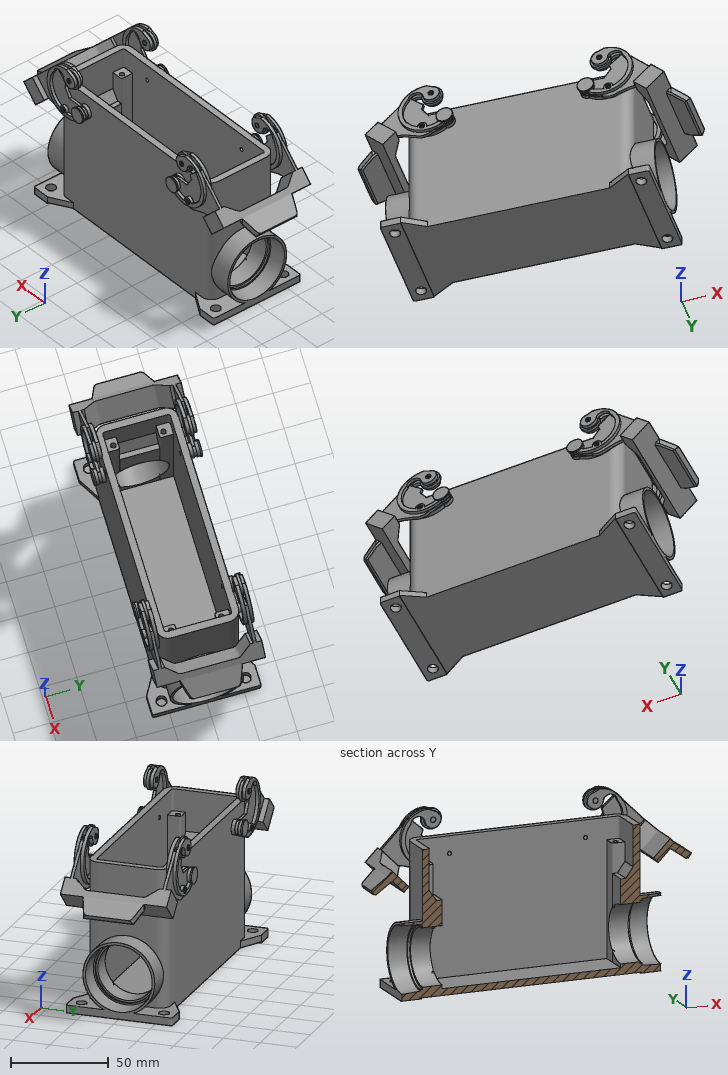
import cadquery as cq
import math

body_length = 121.0
body_width = 43.9
body_bottom = 0.5
body_top = 79.8
body_corner_radius = 6.2
wall = 4.0
floor_top = 4.5
cavity_corner_radius = 1.2
cavity_length = body_length - 2 * wall
cavity_width = body_width - 2 * wall

total_width = 58.0
foot_end_x = 72.1
foot_shoulder_x = 61.0
foot_tip_x = 48.9
foot_top = 4.3
foot_corner_radius = 1.0
foot_hole_x = 66
foot_hole_y = 22.5
foot_hole_diameter = 5.5

entry_z = 22.1
entry_radius = 19.6
entry_mouth_radius = 18.2
entry_thread_end_radius = 17.7
entry_thread_end_x = 61.8
entry_seat_radius = 16.8
entry_hole_radius = 15.7

post_top = 67.8
post_length = 7.0
post_width = 7.3
post_edge_radius = 1.0
post_screw_x = 52.5
post_screw_y = 13.4
post_screw_diameter = 2.7
post_screw_depth = 14.3
ledge_top = 57.5
ledge_flat_width = 2.9
ledge_ramp_drop = 5.7

arm_inner_y = 22.5
web_inner_y = 24.5
web_outer_y = 26.0
arm_outer_y = 27.8
pin_overhang = 0.4

tilt = math.sqrt(0.5)
bar_x = -80.1
bar_z = 67.5
bar_depth = 9.8
bar_length = 13.4
bar_wall = 4.0
bar_block_y = 22.8
bar_recess_y = 16
bar_recess_radius = 2.9

grip_angle = 35
grip_thickness = 4.0
grip_tip_x = -89.2
grip_tip_z = bar_z - (bar_x - grip_tip_x) * math.tan(math.radians(grip_angle))
grip_length = 14.3
grip_root_y = 16.6
grip_tip_y = 12.9
grip_corner_radius = 2.7
grip_edge_chamfer = 0.9

hook_x = -47.5
hook_z = 78.5
hook_outer_radius = 15.4
hook_inner_radius = 13.0
hook_throat = (-53.4, 90.5)
eye_x = -45.2
eye_z = 88.0
eye_radius = 4.5
roller_radius = 5.5
lower_pin_x = -50
lower_pin_z = 66.2
lower_boss_radius = 2.5
pin_radius = 1.5
pin_dimple_radius = 0.7
pin_dimple_depth = 0.5

pivot_x = -37.8
pivot_z = 70.3
pivot_radius = 4.5
pivot_eye_radius = 4.1
pivot_web_radius = 3.5
pivot_neck_radius = 2.1
pivot_head_height = 0.9
pivot_shaft_radius = 1.0

web_edge_length = 21.8
web_shoulder = (-49.8, 82.8)
web_notch = (-50.7, 80.0)
web_step = (-47.1, 74.6)
web_end_x = -38.4
web_belly_radius = 5.0
web_belly_start = (-54.5, 62.5)
web_belly_end = (-45.5, 63.0)
web_heel = (-60.5, 64.5)


def box(x0, x1, y0, y1, z0, z1):
    """Box between two opposite corners."""
    return cq.Workplane("XY").box(x1 - x0, y1 - y0, z1 - z0, centered=False).translate((x0, y0, z0))


def side_plane(y):
    """XZ sketch plane at the given y; positive extrusion goes toward -Y."""
    return cq.Workplane("XZ", origin=(0, y, 0))


def disc(x, z, radius, y0, y1):
    """Cylinder along Y between y0 and y1."""
    return side_plane(y1).center(x, z).circle(radius).extrude(y1 - y0)


def both_sides(solid, plane):
    """The solid joined with its mirror image in the given plane."""
    return solid.union(solid.mirror(plane))


def make_box():
    return (
        cq.Workplane("XY", origin=(0, 0, body_bottom))
        .rect(body_length, body_width)
        .extrude(body_top - body_bottom)
        .edges("|Z")
        .fillet(body_corner_radius)
    )


def make_cavity():
    return (
        cq.Workplane("XY", origin=(0, 0, floor_top))
        .rect(cavity_length, cavity_width)
        .extrude(body_top - floor_top)
        .edges("|Z")
        .fillet(cavity_corner_radius)
    )


def make_foot():
    """Left foot: a full-width pad with two wings tapering into the box sides."""
    half = total_width / 2
    pad = box(-foot_end_x, -foot_shoulder_x, -half, half, 0, foot_top)
    pad = pad.edges("|Z and <X").fillet(foot_corner_radius)
    wings = (
        cq.Workplane("XY", origin=(0, 0, body_bottom))
        .polyline([
            (-foot_shoulder_x, -half),
            (-foot_tip_x, -body_width / 2),
            (-foot_tip_x, body_width / 2),
            (-foot_shoulder_x, half),
        ])
        .close()
        .extrude(foot_top - body_bottom)
    )
    return pad.union(wings)


def make_foot_holes():
    return (
        cq.Workplane("XY")
        .pushPoints([(-foot_hole_x, -foot_hole_y), (-foot_hole_x, foot_hole_y)])
        .circle(foot_hole_diameter / 2)
        .extrude(foot_top)
    )


def make_entry():
    length = foot_end_x - cavity_length / 2
    return cq.Workplane("YZ", origin=(-foot_end_x, 0, entry_z)).circle(entry_radius).extrude(length)


def make_entry_bore():
    """Tapered socket, a seat at the box face, then a smaller hole through the wall and posts."""
    seat_x = body_length / 2
    inner_x = cavity_length / 2 - post_length
    return (
        cq.Workplane("XZ")
        .polyline([
            (-foot_end_x, entry_z),
            (-foot_end_x, entry_z + entry_mouth_radius),
            (-entry_thread_end_x, entry_z + entry_thread_end_radius),
            (-entry_thread_end_x, entry_z + entry_seat_radius),
            (-seat_x, entry_z + entry_seat_radius),
            (-seat_x, entry_z + entry_hole_radius),
            (-inner_x, entry_z + entry_hole_radius),
            (-inner_x, entry_z),
        ])
        .close()
        .revolve(360, (0, entry_z, 0), (1, entry_z, 0))
    )


def make_post():
    """Post in the -X, -Y corner of the cavity."""
    x0 = -cavity_length / 2
    y0 = -cavity_width / 2
    post = box(x0, x0 + post_length, y0, y0 + post_width, floor_top, post_top)
    post = post.edges("|Z and >X and >Y").fillet(post_edge_radius)
    screw_hole = (
        cq.Workplane("XY", origin=(-post_screw_x, -post_screw_y, post_top))
        .circle(post_screw_diameter / 2)
        .extrude(-post_screw_depth)
    )
    return post.cut(screw_hole)


def make_ledge():
    """Block with a ramped top on the end wall, joining the two posts."""
    wall_x = -cavity_length / 2
    front_x = wall_x + post_length
    half = cavity_width / 2 - post_width
    flat_z = ledge_top - ledge_ramp_drop
    return (
        side_plane(half)
        .polyline([
            (wall_x, ledge_top),
            (front_x - ledge_flat_width, flat_z),
            (front_x, flat_z),
            (front_x, floor_top),
            (wall_x, floor_top),
        ])
        .close()
        .extrude(2 * half)
    )


def bar_sketch():
    """Sketch plane on the bar's leftmost corner: x is the bar depth, extrusion follows its length."""
    return cq.Workplane(cq.Plane(origin=(bar_x, 0, bar_z), xDir=(1, 0, 1), normal=(1, 0, -1)))


def make_bar():
    """Tilted handle bar: end blocks joined by a thinner wall, with sloped recess ends."""
    bar = bar_sketch().center(bar_depth / 2, 0).rect(bar_depth, total_width).extrude(bar_length)
    recess = (
        bar_sketch()
        .polyline([
            (bar_depth, -bar_block_y),
            (bar_wall, -bar_recess_y),
            (bar_wall, bar_recess_y),
            (bar_depth, bar_block_y),
        ])
        .close()
        .extrude(bar_length)
        .edges("|(1,0,-1) and <(1,0,1)")
        .fillet(bar_recess_radius)
    )
    return bar.cut(recess)


def make_grip():
    """Flat tab sloping down and outward, narrowing to rounded corners."""
    angle = math.radians(grip_angle)
    along = (math.cos(angle), math.sin(angle))
    down = (math.sin(angle), -math.cos(angle))
    top_end = (grip_tip_x + grip_length * along[0], grip_tip_z + grip_length * along[1])
    slab = (
        side_plane(grip_root_y)
        .polyline([
            (grip_tip_x, grip_tip_z),
            top_end,
            (top_end[0] + grip_thickness * down[0], top_end[1] + grip_thickness * down[1]),
            (grip_tip_x + grip_thickness * down[0], grip_tip_z + grip_thickness * down[1]),
        ])
        .close()
        .extrude(2 * grip_root_y)
    )
    root_x = bar_x + bar_wall
    plan = (
        cq.Workplane("XY")
        .polyline([
            (grip_tip_x, -grip_tip_y),
            (bar_x, -grip_root_y),
            (root_x, -grip_root_y),
            (root_x, grip_root_y),
            (bar_x, grip_root_y),
            (grip_tip_x, grip_tip_y),
        ])
        .close()
        .extrude(body_top)
        .edges("|Z and <X")
        .fillet(grip_corner_radius)
    )
    beyond = bar_sketch().center(bar_wall + bar_depth / 2, 0).rect(bar_depth, total_width)
    beyond = beyond.extrude(bar_length, both=True)
    underside = cq.selectors.DirectionMinMaxSelector(cq.Vector(down[0], 0, down[1]))
    tab = slab.intersect(plan).faces(underside).edges().chamfer(grip_edge_chamfer)
    return tab.cut(beyond)


def make_web():
    """Thin plate from the handle block to the pivot, on the -Y side."""
    bar_top = (bar_x + bar_depth * tilt, bar_z + bar_depth * tilt)
    bar_heel = (bar_top[0] + bar_length * tilt, bar_top[1] - bar_length * tilt)
    apex = (bar_top[0] + web_edge_length * tilt, bar_top[1] + web_edge_length * tilt)
    plate = (
        side_plane(-web_inner_y)
        .moveTo(*bar_top)
        .lineTo(*apex)
        .lineTo(*web_shoulder)
        .lineTo(*web_notch)
        .lineTo(*web_step)
        .lineTo(web_end_x, web_step[1])
        .lineTo(web_end_x, pivot_z - pivot_web_radius)
        .lineTo(*web_belly_end)
        .threePointArc((lower_pin_x, lower_pin_z - web_belly_radius), web_belly_start)
        .lineTo(*web_heel)
        .lineTo(*bar_heel)
        .close()
        .extrude(web_outer_y - web_inner_y)
    )
    pivot_eye = disc(pivot_x, pivot_z, pivot_web_radius, -web_outer_y, -web_inner_y)
    return plate.union(pivot_eye)


def make_hook_arm(y0, y1):
    """C-shaped arm from the hook eye round the left side to the pivot."""
    def on_ring(radius, degrees):
        angle = math.radians(degrees)
        return (hook_x + radius * math.cos(angle), hook_z + radius * math.sin(angle))

    top_angle = 90
    left_angle = 195
    throat_angle = 140
    pivot_angle = 360 + math.degrees(math.atan2(pivot_z - hook_z, pivot_x - hook_x))
    arm = (
        side_plane(y1)
        .moveTo(*on_ring(hook_outer_radius, top_angle))
        .threePointArc(on_ring(hook_outer_radius, left_angle), on_ring(hook_outer_radius, pivot_angle))
        .lineTo(*on_ring(hook_inner_radius, pivot_angle))
        .threePointArc(on_ring(hook_inner_radius, left_angle), on_ring(hook_inner_radius, throat_angle))
        .threePointArc(hook_throat, (eye_x - eye_radius, eye_z))
        .lineTo(eye_x, eye_z)
        .lineTo(eye_x + eye_radius * tilt, eye_z + eye_radius * tilt)
        .close()
        .extrude(y1 - y0)
    )
    for x, z, radius in [
        (eye_x, eye_z, eye_radius),
        (lower_pin_x, lower_pin_z, lower_boss_radius),
        (pivot_x, pivot_z, pivot_eye_radius),
    ]:
        arm = arm.union(disc(x, z, radius, y0, y1))
    return arm


def make_pin(x, z):
    """Riveted pin through the arm layers, dimpled at its outer end."""
    outer = -arm_outer_y - pin_overhang
    pin = disc(x, z, pin_radius, outer, -arm_inner_y + pin_overhang)
    return pin.cut(disc(x, z, pin_dimple_radius, outer, outer + pin_dimple_depth))


def make_lever_side():
    """All arm layers on the -Y side of one lever."""
    side = make_web()
    side = side.union(make_hook_arm(-arm_outer_y, -web_outer_y))
    side = side.union(make_hook_arm(-web_inner_y, -arm_inner_y))
    side = side.union(disc(eye_x, eye_z, roller_radius, -web_outer_y, -web_inner_y))
    side = side.union(disc(pivot_x, pivot_z, pivot_radius, -arm_outer_y - pivot_head_height, -arm_outer_y))
    side = side.union(disc(pivot_x, pivot_z, pivot_neck_radius, -arm_inner_y, -body_width / 2))
    for x, z in [(eye_x, eye_z), (lower_pin_x, lower_pin_z)]:
        side = side.union(make_pin(x, z))
    return side


def make_lever():
    return make_bar().union(make_grip()).union(both_sides(make_lever_side(), "XZ"))


fittings = make_foot().union(make_entry())
housing = make_box().union(both_sides(fittings, "YZ")).cut(make_cavity())
inside = both_sides(make_post(), "XZ").union(make_ledge())
housing = housing.union(both_sides(inside, "YZ"))
housing = housing.cut(both_sides(make_foot_holes().union(make_entry_bore()), "YZ"))
pivot_bore = disc(pivot_x, pivot_z, pivot_shaft_radius, -body_width / 2, body_width / 2)
housing = housing.cut(both_sides(pivot_bore, "YZ"))
result = housing.union(both_sides(make_lever(), "YZ"))